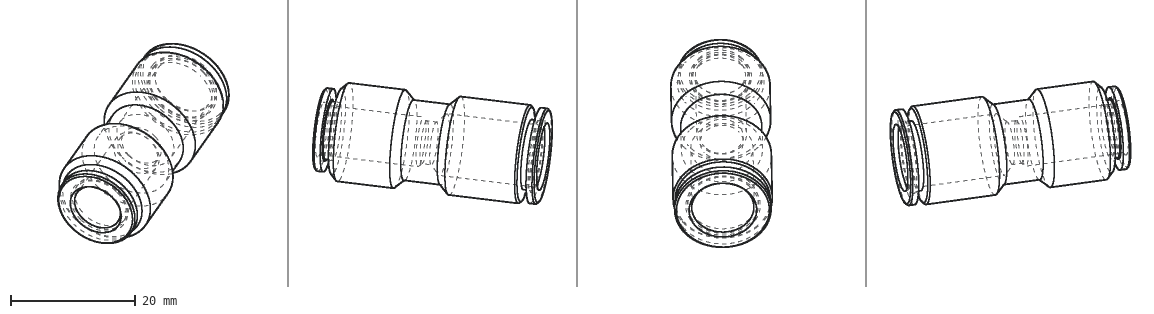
import cadquery as cq

length = 36.5
front_y = -length / 2
back_y = length / 2

body_radius = 8.0
waist_radius = 6.55
waist_start = front_y + 14.45
waist_end = front_y + 20.45
waist_slope_length = 1.55
body_front = front_y + 2.65
body_back = front_y + 33.73
front_chamfer = 1.02
back_chamfer = 0.33

flange_thickness = 1.28
flange_chamfer = 0.3
face_cone_height = 0.22
face_cone_width = 1.25
root_cone_height = 0.1
root_cone_width = 0.3
front_flange_radius = 6.75
front_neck_radius = 4.7
back_flange_radius = 7.77
back_neck_radius = 5.7

passage_radius = 3.45
front_socket_radius = 4.0
back_socket_radius = 5.0
socket_depth = 16.42
mouth_widening = 0.45
mouth_depth = 0.73


def revolve_profile(points):
    """Revolve (radius, y) points around the Y axis."""
    return cq.Workplane("XY").polyline(points).close().revolve(360, (0, 0, 0), (0, 1, 0))


def make_body():
    return revolve_profile([
        (0, body_front),
        (body_radius - front_chamfer, body_front),
        (body_radius, body_front + front_chamfer),
        (body_radius, waist_start - waist_slope_length),
        (waist_radius, waist_start),
        (waist_radius, waist_end),
        (body_radius, waist_end + waist_slope_length),
        (body_radius, body_back - back_chamfer),
        (body_radius - back_chamfer, body_back),
        (0, body_back),
    ])


def make_sleeve(end_y, inward, face_y, flange_radius, neck_radius):
    """Sleeve from the outer end to the body face; inward is the Y direction (+1 or -1) into the part."""
    flange_inner_y = end_y + inward * flange_thickness
    return revolve_profile([
        (0, end_y),
        (flange_radius - flange_chamfer, end_y),
        (flange_radius, end_y + inward * flange_chamfer),
        (flange_radius, flange_inner_y),
        (neck_radius + root_cone_width, flange_inner_y),
        (neck_radius, flange_inner_y + inward * root_cone_height),
        (neck_radius, face_y - inward * face_cone_height),
        (neck_radius + face_cone_width, face_y),
        (0, face_y),
    ])


def make_bore():
    front_taper = front_socket_radius - passage_radius
    back_taper = back_socket_radius - passage_radius
    return revolve_profile([
        (0, front_y),
        (front_socket_radius + mouth_widening, front_y),
        (front_socket_radius, front_y + mouth_depth),
        (front_socket_radius, front_y + socket_depth),
        (passage_radius, front_y + socket_depth + front_taper),
        (passage_radius, back_y - socket_depth - back_taper),
        (back_socket_radius, back_y - socket_depth),
        (back_socket_radius, back_y - mouth_depth),
        (back_socket_radius + mouth_widening, back_y),
        (0, back_y),
    ])


front_sleeve = make_sleeve(front_y, 1, body_front, front_flange_radius, front_neck_radius)
back_sleeve = make_sleeve(back_y, -1, body_back, back_flange_radius, back_neck_radius)
result = make_body().union(front_sleeve).union(back_sleeve).cut(make_bore())